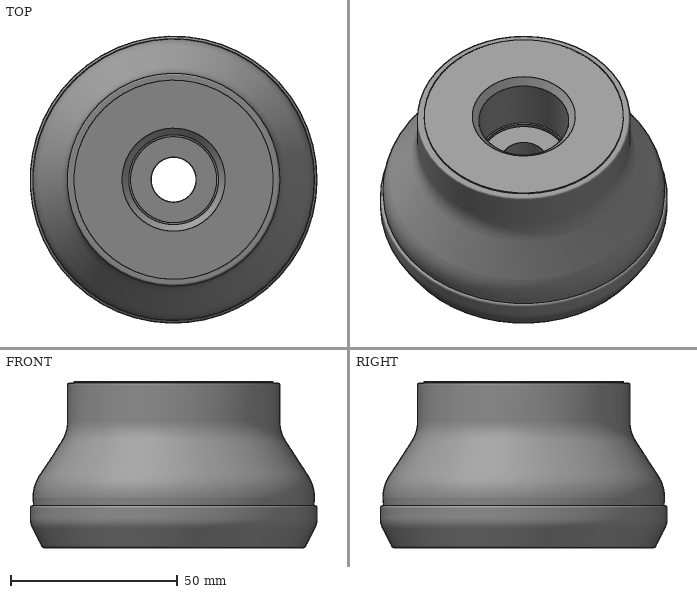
import cadquery as cq
import math

total_height = 50.0
pad_height = 12.7

base_radius = 42.4
base_foot_radius = 42.25
neck_radius = 64.0 / 2
shoulder_bottom_z = 15.1
neck_bottom_z = 37.85
cone_angle = math.radians(33)
shoulder_round = 12.0
neck_round = 10.6

face_radius = 60.0 / 2
face_rise = 0.4
rim_round = 0.6

bore_radius = 27.05 / 2
bore_depth = 19.35
countersink_size = 2.0
seat_radius = 13.0
seat_depth = 1.0
through_radius = 13.5 / 2

pad_radius = 43.2
pad_top_round = 0.8
pad_bottom_round = 0.9
pad_curve_top_z = 8.6
pad_curve_radius = 5.7
pad_cone_angle = math.radians(27)


def point_on_round(center, radius, angle):
    """Point on a circle in the (radius, height) plane."""
    return (center[0] + radius * math.cos(angle), center[1] + radius * math.sin(angle))


def make_housing():
    """Flared housing with a countersunk bore, a shallow seat and a through hole."""
    rim_z = total_height - face_rise
    ledge_z = total_height - bore_depth
    seat_z = ledge_z - seat_depth
    mouth_radius = bore_radius + countersink_size
    shoulder_center = (base_radius - shoulder_round, shoulder_bottom_z)
    neck_center = (neck_radius + neck_round, neck_bottom_z)
    shoulder_middle = point_on_round(shoulder_center, shoulder_round, cone_angle / 2)
    shoulder_end = point_on_round(shoulder_center, shoulder_round, cone_angle)
    neck_start = point_on_round(neck_center, neck_round, math.pi + cone_angle)
    neck_middle = point_on_round(neck_center, neck_round, math.pi + cone_angle / 2)
    rim_center = (neck_radius - rim_round, rim_z - rim_round)

    profile = (
        cq.Workplane("XZ")
        .moveTo(through_radius, pad_height)
        .lineTo(base_foot_radius, pad_height)
        .lineTo(base_radius, shoulder_bottom_z)
        .threePointArc(shoulder_middle, shoulder_end)
        .lineTo(*neck_start)
        .threePointArc(neck_middle, (neck_radius, neck_bottom_z))
        .lineTo(neck_radius, rim_z - rim_round)
        .threePointArc(point_on_round(rim_center, rim_round, math.pi / 4), (rim_center[0], rim_z))
        .lineTo(face_radius, rim_z)
        .lineTo(face_radius, total_height)
        .lineTo(mouth_radius, total_height)
        .lineTo(bore_radius, total_height - countersink_size)
        .lineTo(bore_radius, ledge_z)
        .lineTo(seat_radius, ledge_z)
        .lineTo(seat_radius, seat_z)
        .lineTo(through_radius, seat_z)
        .close()
    )
    return profile.revolve(360, (0, 0, 0), (0, 1, 0))


def make_pad():
    """Rounded ring under the housing, tapering in towards the floor."""
    curve_center = (pad_radius - pad_curve_radius, pad_curve_top_z)
    curve_middle = point_on_round(curve_center, pad_curve_radius, -pad_cone_angle / 2)
    curve_end = point_on_round(curve_center, pad_curve_radius, -pad_cone_angle)
    floor_radius = curve_end[0] - curve_end[1] * math.tan(pad_cone_angle)

    profile = (
        cq.Workplane("XZ")
        .moveTo(through_radius, 0)
        .lineTo(floor_radius, 0)
        .lineTo(*curve_end)
        .threePointArc(curve_middle, (pad_radius, pad_curve_top_z))
        .lineTo(pad_radius, pad_height)
        .lineTo(through_radius, pad_height)
        .close()
    )
    pad = profile.revolve(360, (0, 0, 0), (0, 1, 0))
    pad = pad.faces(">Z").edges(cq.selectors.RadiusNthSelector(-1)).fillet(pad_top_round)
    return pad.faces("<Z").edges(cq.selectors.RadiusNthSelector(-1)).fillet(pad_bottom_round)


housing = make_housing()
pad = make_pad()

result = cq.Compound.makeCompound([housing.val(), pad.val()])